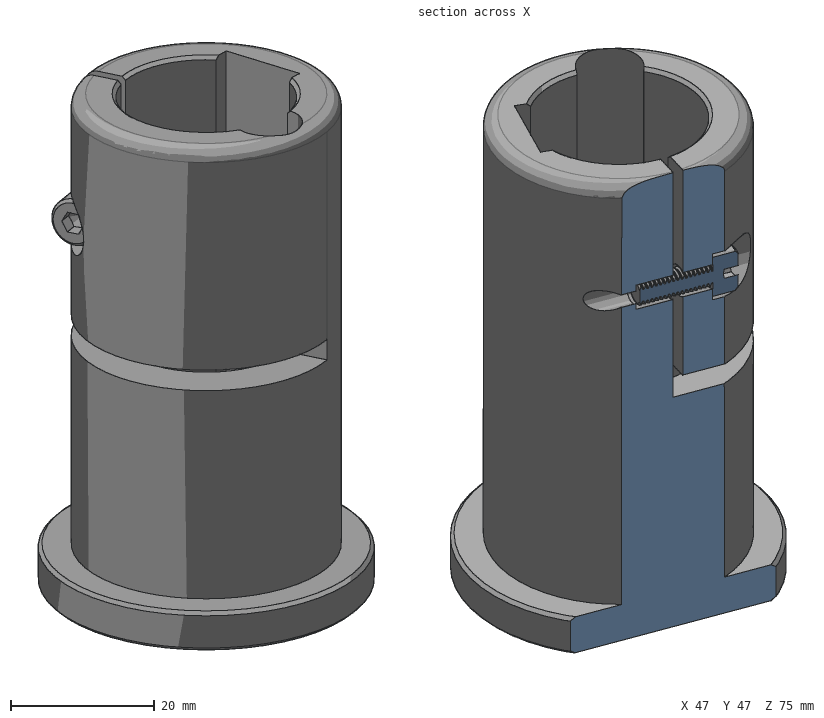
import cadquery as cq
import math

TOTAL_HEIGHT = 75.0
FLANGE_DIAMETER = 47.0
FLANGE_THICKNESS = 6.0
TUBE_DIAMETER = 37.8
TUBE_TOP_FILLET = 2.0
BORE_DIAMETER = 25.3
EDGE_CHAMFER = 0.5

KEYWAY_WIDTH = 12.75
KEYWAY_FLOOR_DISTANCE = 13.3
KEYWAY_ANGLE = -10.0

JAW_GAP_BOTTOM = 37.95
JAW_GAP_HEIGHT = 3.15
JAW_CUT_HEIGHT = TOTAL_HEIGHT - JAW_GAP_BOTTOM
CLAMP_SLOT_WIDTH = 1.5

HINGE_SCALLOP_RADIUS = 4.8
HINGE_SCALLOP_X = 12.0
HINGE_SCALLOP_Y = -4.65

SCREW_X = -15.75
SCREW_Z = 56.0
HEAD_SEAT_Y = -6.2
HEAD_DIAMETER = 7.05
HEAD_HEIGHT = 4.0
HEAD_CHAMFER = 0.45
HEX_ACROSS_FLATS = 3.0
HEX_DEPTH = 2.0
SOCKET_CONE_ANGLE = 120.0
THREAD_DIAMETER = 4.0
THREAD_ROOT_DIAMETER = 3.3
THREAD_PITCH = 0.7
THREAD_TURNS = 17
CREST_FLAT = THREAD_PITCH / 8
ROOT_FLAT = THREAD_PITCH / 4

TAP_DRILL_DIAMETER = THREAD_ROOT_DIAMETER
COUNTERBORE_DIAMETER = 7.95
CLEARANCE_DIAMETER = 4.7
CLEARANCE_END_Y = 5.8


def cylinder_along_y(diameter, start_y, end_y):
    """Cylinder on the screw axis between two Y positions."""
    return (
        cq.Workplane("XZ", origin=(SCREW_X, start_y, SCREW_Z))
        .circle(diameter / 2)
        .extrude(start_y - end_y)
    )


def make_blank():
    """Flanged tube with its outer edges broken, bored through."""
    flange = (
        cq.Workplane("XY")
        .circle(FLANGE_DIAMETER / 2)
        .extrude(FLANGE_THICKNESS)
        .edges()
        .chamfer(EDGE_CHAMFER)
    )
    tube = (
        cq.Workplane("XY")
        .circle(TUBE_DIAMETER / 2)
        .extrude(TOTAL_HEIGHT)
        .faces(">Z")
        .edges()
        .fillet(TUBE_TOP_FILLET)
    )
    bore = cq.Workplane("XY").circle(BORE_DIAMETER / 2).extrude(TOTAL_HEIGHT)
    blank = flange.union(tube).cut(bore)
    bore_rim = cq.selectors.RadiusNthSelector(0)
    return blank.faces(">Z").edges(bore_rim).chamfer(EDGE_CHAMFER)


def make_keyway():
    """Bar from the axis out to the keyway floor, turned about Z."""
    return (
        cq.Workplane("XY")
        .center(0, KEYWAY_FLOOR_DISTANCE / 2)
        .rect(KEYWAY_WIDTH, KEYWAY_FLOOR_DISTANCE)
        .extrude(TOTAL_HEIGHT)
        .rotate((0, 0, 0), (0, 0, 1), KEYWAY_ANGLE)
    )


def make_jaw_gap():
    """Horizontal gap under the jaw, across the whole -Y half."""
    radius = TUBE_DIAMETER / 2
    gap = cq.Workplane("XY").box(TUBE_DIAMETER, radius, JAW_GAP_HEIGHT, centered=False)
    return gap.translate((-radius, -radius, JAW_GAP_BOTTOM))


def make_clamp_slot():
    """Vertical slot on the -X side, from the jaw gap to the top."""
    radius = TUBE_DIAMETER / 2
    slot = cq.Workplane("XY").box(radius, CLAMP_SLOT_WIDTH, JAW_CUT_HEIGHT, centered=False)
    return slot.translate((-radius, -CLAMP_SLOT_WIDTH, JAW_GAP_BOTTOM))


def make_hinge_scallop():
    """Round scallop on the +X side, from the jaw gap to the top."""
    return (
        cq.Workplane("XY", origin=(HINGE_SCALLOP_X, HINGE_SCALLOP_Y, JAW_GAP_BOTTOM))
        .circle(HINGE_SCALLOP_RADIUS)
        .extrude(JAW_CUT_HEIGHT)
    )


def make_screw_hole():
    """Counterbore in the jaw, clearance past the slot, tap drill out through the fixed half."""
    counterbore = cylinder_along_y(COUNTERBORE_DIAMETER, HEAD_SEAT_Y, -TUBE_DIAMETER / 2)
    clearance = cylinder_along_y(CLEARANCE_DIAMETER, CLEARANCE_END_Y, HEAD_SEAT_Y)
    tap_drill = cylinder_along_y(TAP_DRILL_DIAMETER, TUBE_DIAMETER / 2, CLEARANCE_END_Y)
    return counterbore.union(clearance).union(tap_drill)


def make_sleeve():
    """Flanged clamping sleeve with its keyway, jaw cuts and screw hole."""
    sleeve = make_blank()
    for cutter in (
        make_keyway(),
        make_jaw_gap(),
        make_clamp_slot(),
        make_hinge_scallop(),
        make_screw_hole(),
    ):
        sleeve = sleeve.cut(cutter)
    return sleeve


def make_threaded_shank():
    """Shank whose thread is a row of flat-topped rings, one per pitch."""
    root = THREAD_ROOT_DIAMETER / 2
    crest = THREAD_DIAMETER / 2
    flank = (THREAD_PITCH - CREST_FLAT - ROOT_FLAT) / 2
    profile = cq.Workplane("XY").lineTo(root, 0)
    for turn in range(THREAD_TURNS):
        ring_start = turn * THREAD_PITCH + ROOT_FLAT
        profile = (
            profile.lineTo(root, ring_start)
            .lineTo(crest, ring_start + flank)
            .lineTo(crest, ring_start + flank + CREST_FLAT)
            .lineTo(root, (turn + 1) * THREAD_PITCH)
        )
    profile = profile.lineTo(0, THREAD_TURNS * THREAD_PITCH).close()
    shank = profile.revolve(360, (0, 0, 0), (0, 1, 0))
    return shank.translate((SCREW_X, HEAD_SEAT_Y, SCREW_Z))


def make_socket():
    """Hexagon socket, open at Y = 0 and running towards +Y into a conical bottom."""
    corner_radius = HEX_ACROSS_FLATS / 2 / math.cos(math.pi / 6)
    cone_depth = corner_radius / math.tan(math.radians(SOCKET_CONE_ANGLE / 2))
    full_depth = HEX_DEPTH + cone_depth
    hexagon = cq.Workplane("XZ").polygon(6, 2 * corner_radius).extrude(-full_depth)
    pointed_rod = (
        cq.Workplane("XY")
        .lineTo(corner_radius, 0)
        .lineTo(corner_radius, HEX_DEPTH)
        .lineTo(0, full_depth)
        .close()
        .revolve(360, (0, 0, 0), (0, 1, 0))
    )
    return hexagon.intersect(pointed_rod)


def make_screw():
    """Socket head cap screw with its head towards -Y."""
    head_end_y = HEAD_SEAT_Y - HEAD_HEIGHT
    head = cylinder_along_y(HEAD_DIAMETER, HEAD_SEAT_Y, head_end_y)
    head = head.faces("<Y").edges().chamfer(HEAD_CHAMFER)
    socket = make_socket().translate((SCREW_X, head_end_y, SCREW_Z))
    return head.union(make_threaded_shank()).cut(socket)


sleeve = make_sleeve()
screw = make_screw()
result = cq.Compound.makeCompound([sleeve.val(), screw.val()])